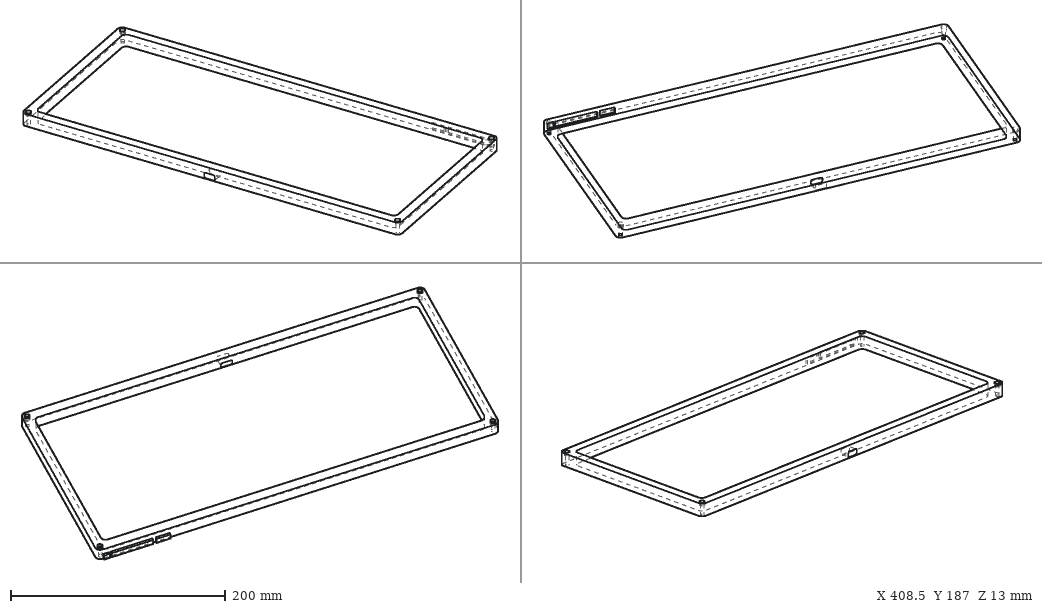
import cadquery as cq

length = 408.5
overall_width = 187.0
height = 13.0
pad_depth = 2.3
width = overall_width - pad_depth
wall = 10.0
corner_radius = wall / 2

screw_diameter = 3.4
head_diameter = 5.5
head_depth = 3.05

opening_width = 11.5
opening_height = 5.7
opening_radius = 1.5
opening_bottom = 1.0
opening_center_x = -1.02

pad_spans = [(130.8, 145.0), (148.5, 190.5), (192.0, 198.0)]
pad_bottom = 1.0
pad_height = 5.7


def rounded_block(block_length, block_width):
    block = cq.Workplane("XY").box(block_length, block_width, height, centered=(True, True, False))
    return block.edges("|Z").fillet(corner_radius)


def make_frame():
    window = rounded_block(length - 2 * wall, width - 2 * wall)
    return rounded_block(length, width).cut(window)


def add_screw_holes(body):
    return (
        body.faces(">Z")
        .workplane(origin=(0, 0, height))
        .rect(length - 2 * corner_radius, width - 2 * corner_radius, forConstruction=True)
        .vertices()
        .cboreHole(screw_diameter, head_diameter, head_depth)
    )


def make_opening():
    opening = cq.Workplane("XY").box(opening_width, wall, opening_height, centered=(True, False, False))
    opening = opening.edges("|Y").fillet(opening_radius)
    return opening.translate((opening_center_x, -width / 2, opening_bottom))


def make_pad(left, right):
    pad = cq.Workplane("XY").box(right - left, pad_depth, pad_height, centered=False)
    return pad.translate((left, width / 2, pad_bottom))


result = add_screw_holes(make_frame()).cut(make_opening())
for left_end, right_end in pad_spans:
    result = result.union(make_pad(left_end, right_end))